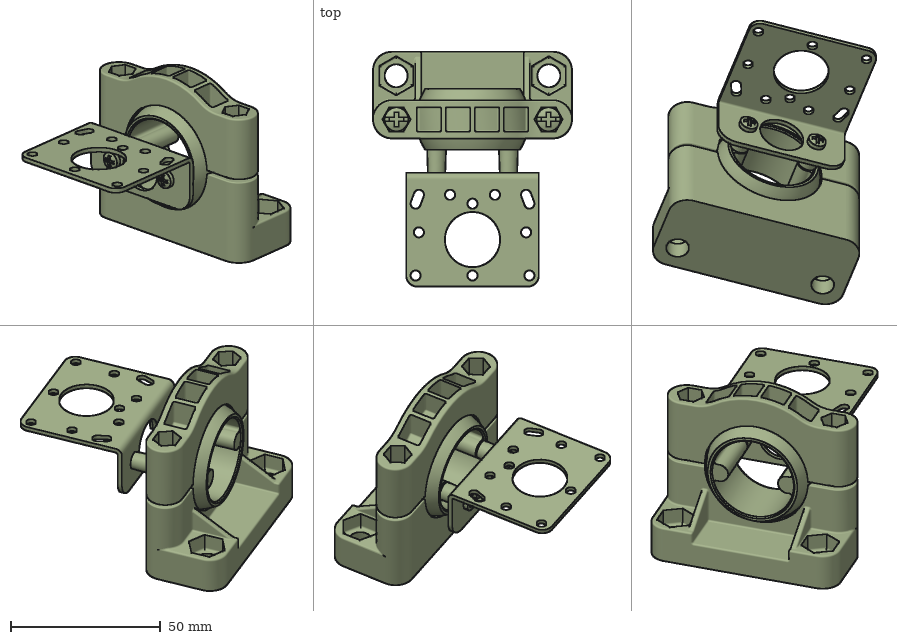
import cadquery as cq
import math


BLOCK_WIDTH = 66.55
BLOCK_THICKNESS = 12.84
BASE_BOTTOM = -30.0
BASE_TOP = -0.75
CAP_BOTTOM = 0.3
CAP_SHOULDER = 22.3
CROWN_RADIUS = 28.67
SHOULDER_END = 22.0
CAP_TOP_FILLET = 0.6
CAP_BOTTOM_FILLET = 0.6
BASE_TOP_FILLET = 0.4
SCREW_X = 25.4
SPACER_RADIUS = 4.0

POCKET_COUNT = 4
POCKET_PITCH = 9.7
POCKET_SIZE = 8.2
POCKET_FLOOR_RADIUS = 21.0
POCKET_FILLET = 0.6

HEX_POCKET_FLATS = 8.16
HEX_POCKET_FLOOR = 11.5
CLAMP_HEAD_DIAMETER = 8.0
CLAMP_HEAD_RIM = 1.5
CLAMP_HEAD_DOME = 1.0
CLAMP_CROSS_LENGTH = 4.8
CLAMP_CROSS_WIDTH = 1.4
CLAMP_CROSS_DEPTH = 1.8
CLAMP_SLOT_DEPTH = 1.2

FOOT_BACK = 22.59
FOOT_TOP = -17.35
FOOT_CORNER_RADIUS = 6.3
FOOT_EDGE_FILLET = 0.65
ROOT_FILLET = 0.6
BOLT_X = 25.5
BOLT_Y = 14.55
BOLT_HOLE_DIAMETER = 7.6
NUT_FLATS = 11.3
NUT_DEPTH = 5.8
NUT_FLOOR_FILLET = 0.75
PANEL_DEPTH = 4.0
PANEL_FILLET = 0.55

RIB_INNER_X = 17.05
RIB_OUTER_X = 19.2
RIB_TOP = -9.2
RIB_BACK = 20.85
RIB_EDGE_FILLET = 0.6

BALL_RADIUS = 18.85
BALL_LENGTH = 20.4
SOCKET_CLEARANCE = 0.54
BORE_RADIUS = 14.4
BORE_CHAMFER = 0.5

POST_X = 12.0
POST_ROOT_RADIUS = 3.2
POST_TIP_RADIUS = 2.95
POST_BORE_FILLET = 1.0
BRACKET_HEAD_DIAMETER = 6.0
BRACKET_HEAD_RIM = 1.6
BRACKET_HEAD_DOME = 0.8
BRACKET_CROSS_LENGTH = 3.8
BRACKET_CROSS_WIDTH = 1.0
BRACKET_CROSS_DEPTH = 1.0

BRACKET_WIDTH = 44.4
BRACKET_BACK = -17.75
BRACKET_FRONT = -55.9
BRACKET_TOP = 10.55
BRACKET_BOTTOM = -9.85
SHEET = 1.6
BEND_RADIUS = 2.3
FLANGE_CORNER_RADIUS = 6.3
PLATE_CORNER_RADIUS = 3.8
FLANGE_HOLE_DIAMETER = 15.2
PLATE_HOLE_DIAMETER = 18.35
PLATE_CENTRE_Y = -40.15
SMALL_HOLE_DIAMETER = 3.3
AXIAL_HOLE_OFFSET = 12.0
SIDE_HOLE_X = 17.9
SIDE_HOLE_Y = -37.75
REAR_HOLE_X = 7.5
REAR_HOLE_Y = -25.2
CORNER_HOLE_X = 19.0
SLOT_REAR_X = 17.9

HALF_THICKNESS = BLOCK_THICKNESS / 2
BALL_HALF = BALL_LENGTH / 2
SIDES = (-1, 1)


def block(bottom, top):
    """Round-ended prism that the cap and the base are made from."""
    outline = cq.Workplane("XY", origin=(0, 0, bottom)).slot2D(BLOCK_WIDTH, BLOCK_THICKNESS)
    return outline.extrude(top - bottom)


def hexagon(centre_x, centre_y, flats, bottom, top, turn):
    """Hexagonal prism; its corners lie on the X axis when turn is zero."""
    corner_diameter = flats / math.cos(math.pi / 6)
    prism = cq.Workplane("XY").polygon(6, corner_diameter).extrude(top - bottom)
    return prism.rotate((0, 0, 0), (0, 0, 1), turn).translate((centre_x, centre_y, bottom))


def screw_head(diameter, rim, dome, cross_length, cross_width, cross_depth):
    """Domed screw head standing on Z = 0, with a cross recess."""
    radius = diameter / 2
    top = rim + dome
    half_chord = radius / 2
    sphere_radius = (radius**2 + dome**2) / (2 * dome)
    arc_height = top - sphere_radius + math.sqrt(sphere_radius**2 - half_chord**2)
    head = (
        cq.Workplane("XZ")
        .lineTo(radius, 0)
        .lineTo(radius, rim)
        .threePointArc((half_chord, arc_height), (0, top))
        .close()
        .revolve(360, (0, 0, 0), (0, 1, 0))
    )
    for length, width in ((cross_length, cross_width), (cross_width, cross_length)):
        arm = cq.Workplane("XY", origin=(0, 0, top - cross_depth)).rect(length, width)
        head = head.cut(arm.extrude(cross_depth))
    return head


def clamp_screw_head():
    """Head with both a cross recess and a slot across its full width."""
    head = screw_head(
        CLAMP_HEAD_DIAMETER, CLAMP_HEAD_RIM, CLAMP_HEAD_DOME,
        CLAMP_CROSS_LENGTH, CLAMP_CROSS_WIDTH, CLAMP_CROSS_DEPTH,
    )
    top = CLAMP_HEAD_RIM + CLAMP_HEAD_DOME
    slot = cq.Workplane("XY", origin=(0, 0, top - CLAMP_SLOT_DEPTH))
    return head.cut(slot.rect(CLAMP_HEAD_DIAMETER, CLAMP_CROSS_WIDTH).extrude(CLAMP_SLOT_DEPTH))


def cap_profile():
    """Crowned outline: an arc about the bore axis, blended into flat shoulders."""
    rise = CAP_SHOULDER
    blend = (CROWN_RADIUS**2 - SHOULDER_END**2 - rise**2) / (2 * (rise - CROWN_RADIUS))
    crown_angle = math.asin(SHOULDER_END / (CROWN_RADIUS + blend))
    tangent_x = CROWN_RADIUS * math.sin(crown_angle)
    tangent_z = CROWN_RADIUS * math.cos(crown_angle)
    middle_x = SHOULDER_END - blend * math.sin(crown_angle / 2)
    middle_z = rise + blend * (1 - math.cos(crown_angle / 2))
    half_width = BLOCK_WIDTH / 2
    return (
        cq.Workplane("XZ")
        .moveTo(-half_width, CAP_BOTTOM)
        .lineTo(half_width, CAP_BOTTOM)
        .lineTo(half_width, rise)
        .lineTo(SHOULDER_END, rise)
        .threePointArc((middle_x, middle_z), (tangent_x, tangent_z))
        .threePointArc((0, CROWN_RADIUS), (-tangent_x, tangent_z))
        .threePointArc((-middle_x, middle_z), (-SHOULDER_END, rise))
        .lineTo(-half_width, rise)
        .close()
    )


def crown_pocket(centre_x):
    """Square pocket whose floor is curved about the bore axis."""
    height = CROWN_RADIUS + POCKET_SIZE
    pocket = cq.Workplane("XY").center(centre_x, 0).rect(POCKET_SIZE, POCKET_SIZE).extrude(height)
    core = cq.Workplane("XZ").circle(POCKET_FLOOR_RADIUS).extrude(POCKET_SIZE, both=True)
    pocket = pocket.cut(core)
    return pocket.edges("not(>Z)").fillet(POCKET_FILLET)


def make_cap():
    crown = cap_profile().extrude(HALF_THICKNESS, both=True)
    cap = block(CAP_BOTTOM, CROWN_RADIUS).intersect(crown)
    cap = cap.faces("<Z").edges().fillet(CAP_BOTTOM_FILLET)
    top_edges = cq.selectors.BoxSelector(
        (-BLOCK_WIDTH, -BLOCK_THICKNESS, CAP_SHOULDER - 0.1),
        (BLOCK_WIDTH, BLOCK_THICKNESS, CROWN_RADIUS + 1),
    )
    cap = cap.edges(top_edges).edges("not |Y").fillet(CAP_TOP_FILLET)
    for index in range(POCKET_COUNT):
        cap = cap.cut(crown_pocket((index - (POCKET_COUNT - 1) / 2) * POCKET_PITCH))
    for side in SIDES:
        x = side * SCREW_X
        cap = cap.cut(hexagon(x, 0, HEX_POCKET_FLATS, HEX_POCKET_FLOOR, CROWN_RADIUS, 0))
        cap = cap.union(clamp_screw_head().translate((x, 0, HEX_POCKET_FLOOR)))
    return cap


def nut_pocket(centre_x):
    """Bolt hole with a hexagonal nut recess, rounded around its floor."""
    floor = FOOT_TOP - NUT_DEPTH
    nut = hexagon(centre_x, BOLT_Y, NUT_FLATS, floor, FOOT_TOP, 30)
    nut = nut.faces("<Z").edges().fillet(NUT_FLOOR_FILLET)
    hole = cq.Workplane("XY", origin=(centre_x, BOLT_Y, BASE_BOTTOM)).circle(BOLT_HOLE_DIAMETER / 2)
    return nut.union(hole.extrude(FOOT_TOP - BASE_BOTTOM))


def rib(side):
    """Triangular gusset standing on the foot against the back of the block."""
    width = RIB_OUTER_X - RIB_INNER_X
    slope = (RIB_TOP - FOOT_TOP) / (RIB_BACK - HALF_THICKNESS)
    sink = 1.0
    gusset = (
        cq.Workplane("YZ", origin=(RIB_INNER_X, 0, 0))
        .moveTo(HALF_THICKNESS - sink, RIB_TOP + slope * sink)
        .lineTo(RIB_BACK + sink, FOOT_TOP - slope * sink)
        .lineTo(HALF_THICKNESS - sink, FOOT_TOP - slope * sink)
        .close()
        .extrude(width)
    )
    gusset = gusset.faces(cq.selectors.DirectionMinMaxSelector(cq.Vector(0, slope, 1), True))
    gusset = gusset.edges("not |X").fillet(RIB_EDGE_FILLET)
    return gusset if side > 0 else gusset.mirror("YZ")


def foot_profile():
    """End-on outline of the foot, with a rounded recess between the ribs."""
    half = BLOCK_WIDTH / 2
    floor = FOOT_TOP - PANEL_DEPTH
    return (
        cq.Workplane("XZ")
        .moveTo(-half, BASE_BOTTOM)
        .lineTo(half, BASE_BOTTOM)
        .lineTo(half, FOOT_TOP)
        .lineTo(RIB_INNER_X, FOOT_TOP)
        .lineTo(RIB_INNER_X, floor)
        .lineTo(-RIB_INNER_X, floor)
        .lineTo(-RIB_INNER_X, FOOT_TOP)
        .lineTo(-half, FOOT_TOP)
        .close()
    )


def make_foot():
    """Foot with rounded back corners and a rounded rim along its sides and back."""
    foot = foot_profile().extrude(-FOOT_BACK)
    outside = BLOCK_WIDTH / 2 + 1
    lowest = FOOT_TOP - PANEL_DEPTH - 1
    recess = cq.selectors.BoxSelector(
        (-RIB_INNER_X - 1, 1, lowest),
        (RIB_INNER_X + 1, FOOT_BACK - 1, 0),
    )
    rim = cq.selectors.BoxSelector((-outside, 1, lowest), (outside, FOOT_BACK + 1, 0))
    foot = foot.edges(recess).fillet(PANEL_FILLET)
    foot = foot.edges("|Z and >Y").edges("<X or >X").fillet(FOOT_CORNER_RADIUS)
    return foot.edges(rim - recess).fillet(FOOT_EDGE_FILLET)


def root_edges(side):
    """Inside corners between foot, block and the outer flank of one rib."""
    near = 0.1
    inner_x = side * (RIB_OUTER_X - near)
    outer_x = side * BLOCK_WIDTH / 2
    flank_x = side * (RIB_OUTER_X + near)
    block_foot = cq.selectors.BoxSelector(
        (flank_x, 2, FOOT_TOP - near),
        (outer_x, HALF_THICKNESS + near, FOOT_TOP + near),
    )
    rib_foot = cq.selectors.BoxSelector(
        (inner_x, HALF_THICKNESS + near, FOOT_TOP - near),
        (flank_x, RIB_BACK - 2, FOOT_TOP + near),
    )
    rib_block = cq.selectors.BoxSelector(
        (inner_x, HALF_THICKNESS - near, FOOT_TOP + near),
        (flank_x, HALF_THICKNESS + near, RIB_TOP),
    )
    return block_foot + rib_foot + rib_block


def make_base():
    base = block(BASE_BOTTOM, BASE_TOP).faces(">Z").edges().fillet(BASE_TOP_FILLET)
    base = base.union(make_foot())
    for side in SIDES:
        base = base.union(rib(side))
    for side in SIDES:
        base = base.edges(root_edges(side)).fillet(ROOT_FILLET)
        base = base.cut(nut_pocket(side * BOLT_X))
        spacer = cq.Workplane("XY", origin=(side * SCREW_X, 0, BASE_TOP)).circle(SPACER_RADIUS)
        base = base.union(spacer.extrude(CAP_BOTTOM - BASE_TOP))
    return base


def make_ball():
    """Sphere cut flat at both ends, bored through around the posts."""
    ends = cq.Workplane("XZ").circle(BALL_RADIUS).extrude(BALL_HALF, both=True)
    return cq.Workplane("XZ").sphere(BALL_RADIUS).intersect(ends).cut(bore_cutter())


def bore_cutter():
    """Bore space left around the two posts, with rounded joints at the posts."""
    bore = cq.Workplane("XZ").circle(BORE_RADIUS).extrude(BALL_HALF, both=True)
    for side in SIDES:
        post = cq.Workplane("XZ").center(side * POST_X, 0).circle(POST_ROOT_RADIUS)
        bore = bore.cut(post.extrude(BALL_HALF, both=True))
    bore = bore.edges("|Y").fillet(POST_BORE_FILLET)
    rim_radius = BORE_RADIUS + BORE_CHAMFER
    for side in SIDES:
        mouth = (
            cq.Workplane("XY")
            .moveTo(0, side * BALL_HALF)
            .lineTo(rim_radius, side * BALL_HALF)
            .lineTo(BORE_RADIUS, side * (BALL_HALF - BORE_CHAMFER))
            .lineTo(0, side * (BALL_HALF - BORE_CHAMFER))
            .close()
            .revolve(360, (0, 0, 0), (0, 1, 0))
        )
        bore = bore.union(mouth)
    return bore


def make_post(x):
    """Tapered post carrying the bracket, with the screw head in front of the bracket."""
    ball_end = cq.Workplane("XZ", origin=(x, -BALL_HALF, 0)).circle(POST_ROOT_RADIUS)
    reach = -BALL_HALF - BRACKET_BACK
    post = ball_end.workplane(offset=reach).circle(POST_TIP_RADIUS).loft(combine=True)
    head = screw_head(
        BRACKET_HEAD_DIAMETER, BRACKET_HEAD_RIM, BRACKET_HEAD_DOME,
        BRACKET_CROSS_LENGTH, BRACKET_CROSS_WIDTH, BRACKET_CROSS_DEPTH,
    )
    head = head.rotate((0, 0, 0), (1, 0, 0), 90).translate((x, BRACKET_BACK - SHEET, 0))
    return post.union(head)


def make_clamp():
    socket = cq.Workplane("XY").sphere(BALL_RADIUS + SOCKET_CLEARANCE)
    return make_base().union(make_cap()).cut(socket)


def make_swivel():
    """Ball with the bracket screwed to its posts."""
    swivel = make_ball().union(make_bracket())
    for side in SIDES:
        swivel = swivel.union(make_post(side * POST_X))
    return swivel


def make_bracket():
    """Sheet bent to an L, its flange held against the posts."""
    bracket = (
        cq.Workplane("YZ", origin=(-BRACKET_WIDTH / 2, 0, 0))
        .moveTo(BRACKET_BACK, BRACKET_BOTTOM)
        .lineTo(BRACKET_BACK, BRACKET_TOP)
        .lineTo(BRACKET_FRONT, BRACKET_TOP)
        .lineTo(BRACKET_FRONT, BRACKET_TOP - SHEET)
        .lineTo(BRACKET_BACK - SHEET, BRACKET_TOP - SHEET)
        .lineTo(BRACKET_BACK - SHEET, BRACKET_BOTTOM)
        .close()
        .extrude(BRACKET_WIDTH)
    )
    bracket = bracket.edges("|X and >Y and >Z").fillet(BEND_RADIUS)
    inner_bend = cq.selectors.NearestToPointSelector((0, BRACKET_BACK - SHEET, BRACKET_TOP - SHEET))
    bracket = bracket.edges(inner_bend).fillet(BEND_RADIUS - SHEET)
    bracket = bracket.edges("|Y and <Z").fillet(FLANGE_CORNER_RADIUS)
    bracket = bracket.edges("|Z and <Y").fillet(PLATE_CORNER_RADIUS)
    flange_hole = cq.Workplane("XZ", origin=(0, BRACKET_BACK, 0)).circle(FLANGE_HOLE_DIAMETER / 2)
    return bracket.cut(flange_hole.extrude(SHEET)).cut(plate_holes())


def plate_holes():
    front_y = PLATE_CENTRE_Y - AXIAL_HOLE_OFFSET
    rear_y = PLATE_CENTRE_Y + AXIAL_HOLE_OFFSET
    points = [(0, front_y), (0, rear_y)]
    for side in SIDES:
        points.append((side * CORNER_HOLE_X, front_y))
        points.append((side * SIDE_HOLE_X, SIDE_HOLE_Y))
        points.append((side * REAR_HOLE_X, REAR_HOLE_Y))
    plate = cq.Workplane("XY", origin=(0, 0, BRACKET_TOP - SHEET))
    holes = plate.center(0, PLATE_CENTRE_Y).circle(PLATE_HOLE_DIAMETER / 2).extrude(SHEET)
    plate = cq.Workplane("XY", origin=(0, 0, BRACKET_TOP - SHEET))
    holes = holes.union(plate.pushPoints(points).circle(SMALL_HOLE_DIAMETER / 2).extrude(SHEET))
    for side in SIDES:
        run_x = side * (SLOT_REAR_X - CORNER_HOLE_X)
        run_y = REAR_HOLE_Y - rear_y
        slot = cq.Workplane("XY", origin=(0, 0, BRACKET_TOP - SHEET))
        slot = slot.center(side * (SLOT_REAR_X + CORNER_HOLE_X) / 2, (REAR_HOLE_Y + rear_y) / 2)
        slot_length = math.hypot(run_x, run_y) + SMALL_HOLE_DIAMETER
        slot_angle = math.degrees(math.atan2(run_y, run_x))
        holes = holes.union(slot.slot2D(slot_length, SMALL_HOLE_DIAMETER, slot_angle).extrude(SHEET))
    return holes


clamp = make_clamp()
swivel = make_swivel()

result = cq.Compound.makeCompound([clamp.val(), swivel.val()])